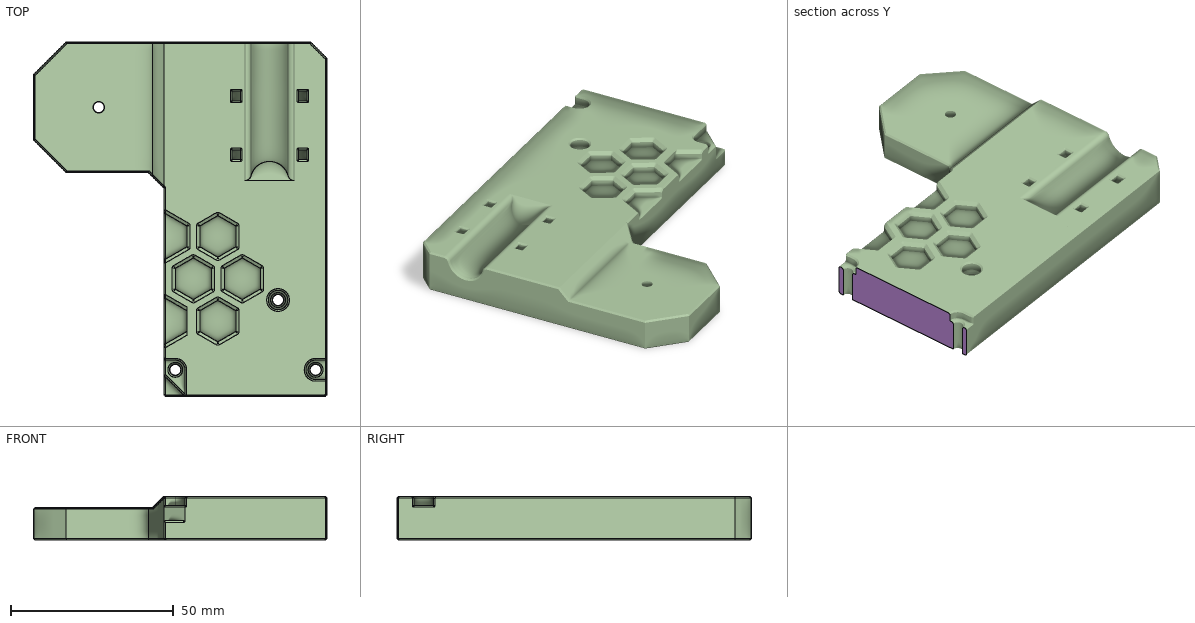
import cadquery as cq
import math

width = 90.0
length = 108.7
height = 13.5
edge_chamfer = 0.5

pad_size = 40.0
pad_height = 10.0
pad_corner = 10.0
inner_corner = 4.8
back_corner = 5.0
block_left = pad_size
slope_start = block_left - inner_corner
pad_front = length - pad_size

overrun = 1.1

hole_diameter = 3.4
hole_rim_diameter = 4.6
head_diameter = 6.0
head_radius = head_diameter / 2
pocket_depth = 2.8
pocket_floor = height - pocket_depth
corner_hole_inset = 3.5
corner_hole_y = 8.2
middle_hole = (75.0, 29.6)
pad_hole = (pad_size / 2, length - pad_size / 2)
left_hole = (block_left + corner_hole_inset, corner_hole_y)
right_hole = (width - corner_hole_inset, corner_hole_y)

notch_floor = 6.0

hex_pitch = 15.0
hex_flats = 13.0
hex_bevel = 1.0
hex_floor_flats = hex_flats - 2 * hex_bevel
hex_x = 49.0
hex_y = 36.1

groove_x = 72.4
groove_radius = 5.9
groove_lip = 2.0
groove_length = 42.5

tunnel_inner_radius = 8.9
tunnel_outer_radius = 11.5
tunnel_width = 3.0
tunnel_positions = (92.2, 74.1)


def box(x0, x1, y0, y1, z0, z1):
    """Axis-aligned box between two opposite corners."""
    return cq.Workplane("XY").box(x1 - x0, y1 - y0, z1 - z0, centered=False).translate((x0, y0, z0))


def cylinder(center, diameter, z0, z1):
    """Vertical cylinder between two heights."""
    return cq.Workplane("XY", origin=(*center, z0)).circle(diameter / 2).extrude(z1 - z0)


def rim_cone(center, rim_diameter, bore_diameter, rim_z):
    """Cutter for a 45 degree chamfer around a hole rim."""
    depth = (rim_diameter - bore_diameter) / 2
    rim = cq.Solid.makeCone(bore_diameter / 2, rim_diameter / 2, depth, cq.Vector(*center, rim_z - depth))
    return cq.Workplane(obj=rim)


def make_plate():
    """Full-height plate with all outer edges chamfered, before the pad is lowered."""
    outline = [
        (block_left, 0),
        (width, 0),
        (width, length - back_corner),
        (width - back_corner, length),
        (pad_corner, length),
        (0, length - pad_corner),
        (0, pad_front + pad_corner),
        (pad_corner, pad_front),
        (slope_start, pad_front),
        (block_left, pad_front - inner_corner),
    ]
    plate = cq.Workplane("XY").polyline(outline).close().extrude(height)
    plate = plate.edges("|Z").edges("<Y").chamfer(edge_chamfer)
    return plate.faces("<Z or >Z").edges().chamfer(edge_chamfer)


def make_pad():
    """Low pad with chamfered top edges, run on past the block side."""
    outline = [
        (0, length - pad_corner),
        (0, pad_front + pad_corner),
        (pad_corner, pad_front),
        (slope_start, pad_front),
        (block_left + overrun, pad_front - inner_corner - overrun),
        (block_left + overrun, length),
        (pad_corner, length),
    ]
    pad = cq.Workplane("XY").polyline(outline).close().extrude(pad_height)
    return pad.faces(">Z").edges("not >X").chamfer(edge_chamfer)


def make_slope():
    """Wedge with a 45 degree face from the pad to the block, chamfered along both ends of that face."""
    outline = [
        (slope_start, pad_front),
        (block_left + overrun, pad_front - inner_corner - overrun),
        (block_left + overrun, length),
        (slope_start, length),
    ]
    profile = [
        (slope_start, 0),
        (slope_start, height - inner_corner),
        (block_left + overrun, height + overrun),
        (block_left + overrun, 0),
    ]
    slope = cq.Workplane("XY").polyline(outline).close().extrude(height + overrun)
    slope = slope.intersect(cq.Workplane("XZ").polyline(profile).close().extrude(-length))
    slope_face = cq.selectors.DirectionMinMaxSelector(cq.Vector(-1, 0, 1), True)
    ends = cq.selectors.DirectionMinMaxSelector(cq.Vector(0, 1, 0), True)
    ends = ends + cq.selectors.DirectionMinMaxSelector(cq.Vector(0, 1, 0), False)
    return slope.faces(slope_face).edges(ends).chamfer(edge_chamfer)


def make_body():
    """Plate with the area left of the block lowered to the pad and its slope."""
    block = box(block_left, width, 0, length, 0, height)
    left_side = box(0, block_left, 0, length, 0, height)
    envelope = make_pad().union(make_slope()).intersect(left_side).union(block)
    return make_plate().intersect(envelope)


def bevelled_pocket(plan, floor_z, bevel):
    """Pocket cutter with upright walls and a 45 degree bevel around its top rim."""
    walls = cq.Workplane("XY", origin=(0, 0, floor_z)).placeSketch(plan).extrude(height - floor_z)
    rim = cq.Workplane("XY", origin=(0, 0, height - bevel)).placeSketch(plan).extrude(bevel, taper=-45)
    return walls.union(rim)


def side_bevel(side, face, start, end, floor_z, rim_bevel):
    """Cutter bevelling the edges where a pocket runs out through an upright side.

    The side is "-X", "+X" or "-Y" and the face is its position. The pocket reaches from start
    to end along the side and its top rim has the given bevel.
    """
    outward_x, outward_y = {"-X": (-1, 0), "+X": (1, 0), "-Y": (0, -1)}[side]
    if side == "-Y":
        origin = (0, face + edge_chamfer, 0)
    else:
        origin = (face - outward_x * edge_chamfer, 0, 0)
    across = cq.Vector(abs(outward_y), abs(outward_x), 0)
    normal = cq.Vector(outward_x, outward_y, 0)
    plane = cq.Plane(origin=origin, xDir=across, normal=normal)
    up = plane.yDir.z
    opening = [
        (start, floor_z),
        (end, floor_z),
        (end, height - rim_bevel),
        (end + rim_bevel, height),
        (end + rim_bevel, height + overrun),
        (start - rim_bevel, height + overrun),
        (start - rim_bevel, height),
        (start, height - rim_bevel),
    ]
    outline = [(along, up * z) for along, z in opening]
    return cq.Workplane(plane).polyline(outline).close().extrude(edge_chamfer, taper=-45)


def hex_pocket(center):
    """Hexagonal pocket with a bevelled rim and corners pointing to +Y and -Y."""
    plan = cq.Sketch().push([center]).regularPolygon(hex_floor_flats / math.sqrt(3), 6)
    return bevelled_pocket(plan, pocket_floor, hex_bevel)


def side_pocket(center, right_wall_bevelled):
    """Pocket like a hexagon whose slanted walls run on through the left side of the block."""
    x, y = center
    right_wall = x + hex_floor_flats / 2

    def half_opening(at_x):
        return (hex_floor_flats - (at_x - x)) / math.sqrt(3)

    wall_half = half_opening(right_wall)
    side_half = half_opening(block_left)
    outline = [
        (right_wall, y - wall_half),
        (right_wall, y + wall_half),
        (block_left, y + side_half),
        (block_left, y - side_half),
        (right_wall, y - wall_half),
    ]
    plan = cq.Sketch().polygon(outline)
    pocket = bevelled_pocket(plan, pocket_floor, hex_bevel)
    opening = half_opening(block_left + edge_chamfer)
    pocket = pocket.union(side_bevel("-X", block_left, y - opening, y + opening, pocket_floor, hex_bevel))
    if not right_wall_bevelled:
        pocket = pocket.intersect(box(0, right_wall, 0, length, 0, height))
    return pocket


def honeycomb():
    """Rows of pockets with the middle row shifted sideways by half a pitch."""
    row_pitch = hex_pitch * math.sqrt(3) / 2
    side_x = hex_x - hex_pitch / 2
    inner_x = hex_x + hex_pitch / 2
    cutter = hex_pocket((hex_x, hex_y)).union(hex_pocket((hex_x + hex_pitch, hex_y)))
    for row in (-1, 1):
        row_y = hex_y + row * row_pitch
        cutter = cutter.union(hex_pocket((inner_x, row_y)))
        cutter = cutter.union(side_pocket((side_x, row_y), right_wall_bevelled=row > 0))
    return cutter


def screw_hole(center, seat_z):
    """Through hole with a chamfered rim at its seat."""
    rim = rim_cone(center, hole_rim_diameter, hole_diameter, seat_z)
    return cylinder(center, hole_diameter, 0, seat_z).union(rim)


def middle_screw():
    """Counterbored hole in the middle of the block."""
    head = cq.Sketch().push([middle_hole]).circle(head_radius)
    return bevelled_pocket(head, pocket_floor, edge_chamfer).union(screw_hole(middle_hole, pocket_floor))


def right_screw():
    """Front right hole whose head seat is a round-ended slot open to the right."""
    x, y = right_hole
    seat = cq.Sketch().push([(x + head_diameter, y)]).slot(2 * head_diameter, head_diameter)
    cutter = bevelled_pocket(seat, pocket_floor, edge_chamfer).union(screw_hole(right_hole, pocket_floor))
    opening = side_bevel("+X", width, y - head_radius, y + head_radius, pocket_floor, edge_chamfer)
    return cutter.union(opening)


def corner_notch(seat_right, seat_back):
    """Triangular notch below the front left head seat, with bevelled edges."""
    leg = seat_right - block_left
    triangle = [(block_left, 0), (seat_right, 0), (block_left, leg)]
    notch = cq.Workplane("XY", origin=(0, 0, notch_floor)).polyline(triangle).close()
    notch = notch.extrude(pocket_floor - notch_floor)
    left_end = leg - edge_chamfer
    front_end = seat_right - edge_chamfer
    sides = side_bevel("-X", block_left, -overrun, left_end, notch_floor, edge_chamfer)
    sides = sides.union(side_bevel("-Y", 0, block_left - overrun, front_end, notch_floor, edge_chamfer))
    sides = sides.intersect(box(0, width, -overrun, length, 0, pocket_floor))
    rim = cq.Workplane("XY", origin=(0, 0, pocket_floor - edge_chamfer)).polyline(triangle).close()
    rim = rim.extrude(edge_chamfer, taper=-45)
    rim = rim.intersect(box(block_left, seat_right, 0, seat_back, 0, height))
    return notch.union(sides).union(rim)


def left_screw():
    """Front left hole whose head seat and triangular notch take away the corner of the block."""
    seat_right = left_hole[0] + head_radius
    seat_back = left_hole[1] + head_radius
    seat_width = seat_right - block_left + overrun
    seat_length = seat_back + overrun
    seat = (
        cq.Sketch()
        .push([(seat_right - seat_width / 2, seat_back - seat_length / 2)])
        .rect(seat_width, seat_length)
        .reset()
        .vertices(">X and >Y")
        .fillet(head_radius)
    )
    cutter = bevelled_pocket(seat, pocket_floor, edge_chamfer).union(screw_hole(left_hole, pocket_floor))
    cutter = cutter.union(side_bevel("-X", block_left, -overrun, seat_back, pocket_floor, edge_chamfer))
    front_start = block_left - overrun
    cutter = cutter.union(side_bevel("-Y", 0, front_start, seat_right, pocket_floor, edge_chamfer))
    return cutter.union(corner_notch(seat_right, seat_back))


def groove():
    """Round groove with rolled lips, a 45 degree end and a bevelled mouth."""
    half_width = math.sqrt((groove_radius + groove_lip) ** 2 - groove_lip**2)
    tilt = math.atan2(groove_lip, half_width)
    join = (groove_radius * math.cos(tilt), -groove_radius * math.sin(tilt))
    half_turn = (math.pi / 2 - tilt) / 2
    lip_middle = (half_width - groove_lip * math.sin(half_turn), groove_lip * (math.cos(half_turn) - 1))

    def section(y):
        outer = half_width + overrun
        return (
            cq.Workplane("XZ", origin=(groove_x, y, height))
            .moveTo(outer, overrun)
            .lineTo(outer, 0)
            .lineTo(half_width, 0)
            .threePointArc(lip_middle, join)
            .threePointArc((0, -groove_radius), (-join[0], join[1]))
            .threePointArc((-lip_middle[0], lip_middle[1]), (-half_width, 0))
            .lineTo(-outer, 0)
            .lineTo(-outer, overrun)
            .close()
        )

    trough = section(length).extrude(groove_length)
    end_y = length - groove_length
    sloped_end = [(end_y, height), (end_y + height, 0), (length, 0), (length, height)]
    trough = trough.intersect(cq.Workplane("YZ").polyline(sloped_end).close().extrude(width))
    mouth = section(length - edge_chamfer).extrude(-edge_chamfer, taper=-45)
    return trough.union(mouth)


def strap_tunnel(y):
    """Half-ring tunnel around the groove with bevelled rectangular openings in the top."""
    ring = (
        cq.Workplane("XZ", origin=(groove_x, y + tunnel_width / 2, height))
        .circle(tunnel_outer_radius)
        .circle(tunnel_inner_radius)
        .extrude(tunnel_width)
    )
    middle_radius = (tunnel_inner_radius + tunnel_outer_radius) / 2
    openings = [(groove_x - middle_radius, y), (groove_x + middle_radius, y)]
    plan = cq.Sketch().push(openings).rect(tunnel_outer_radius - tunnel_inner_radius, tunnel_width)
    rim = cq.Workplane("XY", origin=(0, 0, height - edge_chamfer)).placeSketch(plan)
    return ring.union(rim.extrude(edge_chamfer, taper=-45))


result = make_body()
result = result.cut(honeycomb()).cut(groove())
result = result.cut(cylinder(pad_hole, hole_diameter, 0, pad_height))
result = result.cut(middle_screw()).cut(right_screw()).cut(left_screw())
for tunnel_y in tunnel_positions:
    result = result.cut(strap_tunnel(tunnel_y))